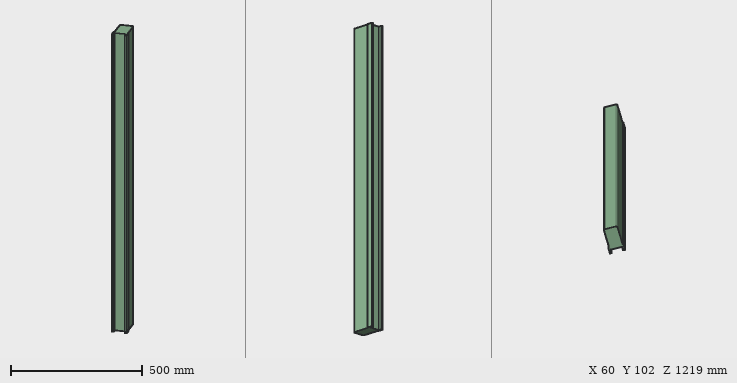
import cadquery as cq

length = 1219.0
overall_width = 60.0
overall_depth = 102.0

body_width = 54.0
back_corner_radius = 6.0
rail_depth = 24.0
rail_thickness = 7.9
recess_depth = 15.0

front_y = -overall_depth / 2
back_y = overall_depth / 2


def make_block(width, y_start, y_end):
    """Full-length block centred on X, between two Y positions."""
    depth = y_end - y_start
    return cq.Workplane("XY").box(width, depth, length).translate((0, y_start + depth / 2, 0))


def make_body():
    """Main box with rounded back corners."""
    body = make_block(body_width, front_y + recess_depth, back_y)
    return body.edges("|Z and >Y").fillet(back_corner_radius)


def make_rails():
    """Wider front section, recessed between two rails."""
    base = make_block(overall_width, front_y, front_y + rail_depth)
    recess_width = overall_width - 2 * rail_thickness
    return base.cut(make_block(recess_width, front_y, front_y + recess_depth))


result = make_body().union(make_rails())